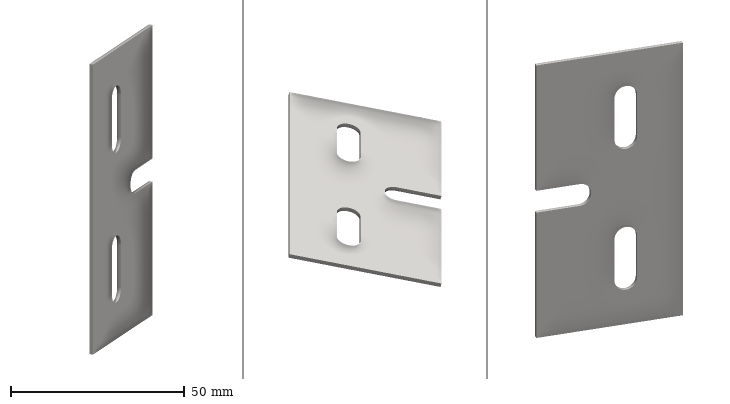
import cadquery as cq

thickness = 1.2
width = 45.0
height = 87.0

slot_width = 7.0
slot_length = 20.0
slot_spacing = 45.0
slot_offset = 5.0
notch_depth = 16.8

plate = cq.Workplane("YZ").rect(width, height).extrude(thickness / 2, both=True)

upright_slots = (
    cq.Workplane("YZ")
    .pushPoints([(-slot_offset, side * slot_spacing / 2) for side in (-1, 1)])
    .slot2D(slot_length, slot_width, 90)
    .extrude(thickness, both=True)
)

edge_notch = (
    cq.Workplane("YZ")
    .center(width / 2, 0)
    .slot2D(2 * notch_depth, slot_width)
    .extrude(thickness, both=True)
)

result = plate.cut(upright_slots).cut(edge_notch)